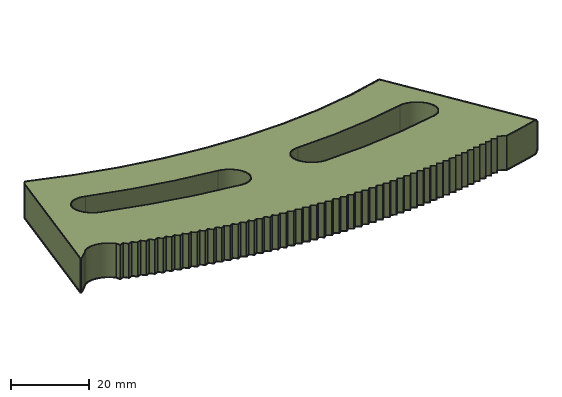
import cadquery as cq
import math

thickness = 9.5
inner_radius = 163.7
land_radius = 212.2
end_angle = 40.18
edge_chamfer = 0.8
corner_radius = 2.7

tooth_tip_radius = 211.4
tooth_root_radius = 210.4
tooth_pitch_angle = 0.636
first_tip_angle = 3.3
tooth_count = 52
land_start_angle = 36.5

nose_tip_x = 216.6
nose_tip_height = 0.3
gullet_top = (209.9, 11.5)
gullet_deepest = (208.8, 8.2)
gullet_bottom = (213.0, 2.2)

slot_centre_radius = 184.1
slot_width = 11.0
slot_start_angle = 4.0
slot_span_angle = 12.1
slot_spacing_angle = 20.2
slot_count = 2


def polar(radius, angle):
    """Point at the given radius and angle around the common centre."""
    a = math.radians(angle)
    return (radius * math.cos(a), radius * math.sin(a))


inner_corner_low = (inner_radius, 0)
inner_corner_high = polar(inner_radius, end_angle)
rim_middle = polar(inner_radius, end_angle / 2)
end_middle = polar((inner_radius + land_radius) / 2, end_angle)
blank_radius = nose_tip_x + 1.4


def plate_outline():
    """Closed outline with sharp corners, counter-clockwise from the bottom of the inner rim."""
    outline = cq.Workplane("XY").moveTo(*inner_corner_low).lineTo(nose_tip_x, 0)
    outline = outline.lineTo(nose_tip_x, nose_tip_height).lineTo(*gullet_bottom)
    outline = outline.threePointArc(gullet_deepest, gullet_top)
    for i in range(tooth_count):
        tip_angle = first_tip_angle + i * tooth_pitch_angle
        outline = outline.lineTo(*polar(tooth_tip_radius, tip_angle))
        outline = outline.lineTo(*polar(tooth_root_radius, tip_angle + tooth_pitch_angle / 2))
    outline = outline.lineTo(*polar(land_radius, land_start_angle))
    land_middle = polar(land_radius, (land_start_angle + end_angle) / 2)
    outline = outline.threePointArc(land_middle, polar(land_radius, end_angle))
    outline = outline.lineTo(*inner_corner_high)
    return outline.threePointArc(rim_middle, inner_corner_low).close()


def curved_slot(start_angle):
    """Cutter for one slot following the arc of the plate."""
    end = start_angle + slot_span_angle
    middle = start_angle + slot_span_angle / 2
    half_width = slot_width / 2
    inner = slot_centre_radius - half_width
    outer = slot_centre_radius + half_width
    cap_angle = math.degrees(half_width / slot_centre_radius)
    return (
        cq.Workplane("XY")
        .moveTo(*polar(outer, start_angle))
        .threePointArc(polar(outer, middle), polar(outer, end))
        .threePointArc(polar(slot_centre_radius, end + cap_angle), polar(inner, end))
        .threePointArc(polar(inner, middle), polar(inner, start_angle))
        .threePointArc(polar(slot_centre_radius, start_angle - cap_angle), polar(outer, start_angle))
        .close()
        .extrude(thickness)
    )


def rounded_blank():
    """Plain sector around the whole plate with its two inner corners rounded."""
    blank = (
        cq.Workplane("XY")
        .moveTo(*inner_corner_low)
        .lineTo(blank_radius, 0)
        .threePointArc(polar(blank_radius, end_angle / 2), polar(blank_radius, end_angle))
        .lineTo(*inner_corner_high)
        .threePointArc(rim_middle, inner_corner_low)
        .close()
        .extrude(thickness)
    )
    corners = [
        blank.edges(cq.NearestToPointSelector((*corner, thickness / 2))).val()
        for corner in (inner_corner_low, inner_corner_high)
    ]
    return blank.newObject(corners).fillet(corner_radius)


plate = plate_outline().extrude(thickness)
for face in ("<Z", ">Z"):
    rim_edge = plate.faces(face).edges(cq.NearestToPointSelector((*rim_middle, thickness / 2)))
    end_edge = plate.faces(face).edges(cq.NearestToPointSelector((*end_middle, thickness / 2)))
    plate = plate.newObject(rim_edge.vals() + end_edge.vals()).chamfer(edge_chamfer)

plate = plate.intersect(rounded_blank())

for i in range(slot_count):
    plate = plate.cut(curved_slot(slot_start_angle + i * slot_spacing_angle))

result = plate